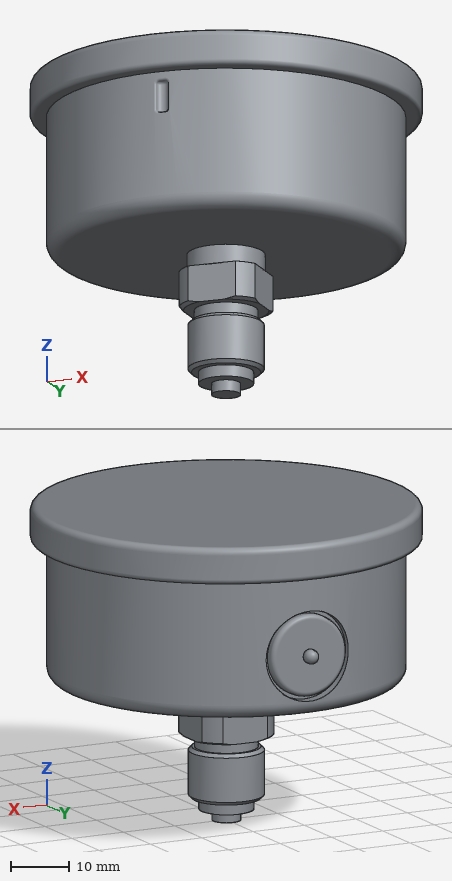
import cadquery as cq
import math


bezel_diameter = 67.6
bezel_height = 6.35
bezel_front_fillet = 1.2
bezel_back_fillet = 0.8
case_diameter = 62.0
case_height = 24.6
case_back_fillet = 2.4

collar_diameter = 13.5
collar_length = 3.4
wrench_flats = 14.0
wrench_flat_width = 8.7
wrench_length = 6.6
wrench_chamfer_height = 0.4
wrench_chamfer_width = 0.9
neck_diameter = 11.0
neck_length = 1.95
thread_diameter = 13.2
thread_length = 9.05
thread_chamfer = 0.6
pilot_diameter = 9.5
pilot_length = 2.0
tip_diameter = 5.0
tip_length = 1.95

plug_height = 10.5
plug_hole_diameter = 15.95
plug_hole_depth = 2.0
plug_diameter = 14.5
plug_edge_fillet = 0.8
plug_recess = 0.15
pin_diameter = 2.5
pin_straight_length = 0.7

notch_drop_from_front = 10.75
notch_radius = 1.115
notch_length = 5.55
notch_end_fillet = 0.55
notch_rim_fillet = 0.4

case_radius = case_diameter / 2
front_height = case_height + bezel_height


def cylinder_down(diameter, length, top):
    """Vertical cylinder that reaches down from the height `top`."""
    return cq.Workplane("XY").workplane(offset=top).circle(diameter / 2).extrude(-length)


def cylinder_along_y(diameter, start, end, height):
    """Cylinder along Y between two Y positions, centred on X = 0."""
    plane = cq.Plane(origin=(0, start, height), xDir=(1, 0, 0), normal=(0, 1, 0))
    return cq.Workplane(plane).circle(diameter / 2).extrude(end - start)


def make_case():
    return cylinder_down(case_diameter, case_height, case_height).faces("<Z").edges().fillet(case_back_fillet)


def make_bezel():
    bezel = cylinder_down(bezel_diameter, bezel_height, front_height)
    bezel = bezel.faces(">Z").edges().fillet(bezel_front_fillet)
    return bezel.faces("<Z").edges().fillet(bezel_back_fillet)


def cut_notch(case):
    """Half-round vertical trough with rounded ends and a rounded rim."""
    height = front_height - notch_drop_from_front
    cutter = (
        cq.Workplane("XY")
        .circle(notch_radius)
        .extrude(notch_length)
        .edges()
        .fillet(notch_end_fillet)
        .translate((0, -case_radius, height - notch_length / 2))
    )
    rim_reach = notch_radius / 2
    rim_zone = cq.selectors.BoxSelector(
        (-2 * notch_radius, -case_radius - rim_reach, height - notch_length),
        (2 * notch_radius, -case_radius + rim_reach, height + notch_length),
    )
    notched = case.cut(cutter)
    return notched.edges(rim_zone).fillet(notch_rim_fillet)


def make_plug():
    """Disc with a rounded edge standing in its hole, with a round-nosed pin at the centre."""
    floor = case_radius - plug_hole_depth
    face = case_radius - plug_recess
    nose_start = face + pin_straight_length
    disc = cylinder_along_y(plug_diameter, floor, face, plug_height)
    disc = disc.faces(">Y").edges().fillet(plug_edge_fillet)
    pin = cylinder_along_y(pin_diameter, floor, nose_start, plug_height)
    nose = cq.Workplane("XY").sphere(pin_diameter / 2).translate((0, nose_start, plug_height))
    return disc.union(pin).union(nose)


def make_wrench_block(top):
    """Square block with its corners turned round and its lower rim chamfered."""
    turned_diameter = math.hypot(wrench_flats, wrench_flat_width)
    square = (
        cq.Workplane("XY").workplane(offset=top).rect(wrench_flats, wrench_flats).extrude(-wrench_length)
    )
    turned = (
        cylinder_down(turned_diameter, wrench_length, top)
        .faces("<Z")
        .edges()
        .chamfer(wrench_chamfer_height, wrench_chamfer_width)
    )
    return square.intersect(turned)


def make_thread(top):
    thread = cylinder_down(thread_diameter, thread_length, top)
    return thread.faces("<Z or >Z").edges().chamfer(thread_chamfer)


def make_stem():
    wrench_top = -collar_length
    neck_top = wrench_top - wrench_length
    thread_top = neck_top - neck_length
    pilot_top = thread_top - thread_length
    tip_top = pilot_top - pilot_length
    return (
        cylinder_down(collar_diameter, collar_length, 0)
        .union(make_wrench_block(wrench_top))
        .union(cylinder_down(neck_diameter, neck_length, neck_top))
        .union(make_thread(thread_top))
        .union(cylinder_down(pilot_diameter, pilot_length, pilot_top))
        .union(cylinder_down(tip_diameter, tip_length, tip_top))
    )


plug_hole = cylinder_along_y(plug_hole_diameter, case_radius - plug_hole_depth, case_radius, plug_height)
case = cut_notch(make_case()).cut(plug_hole)
result = case.union(make_bezel()).union(make_plug()).union(make_stem())